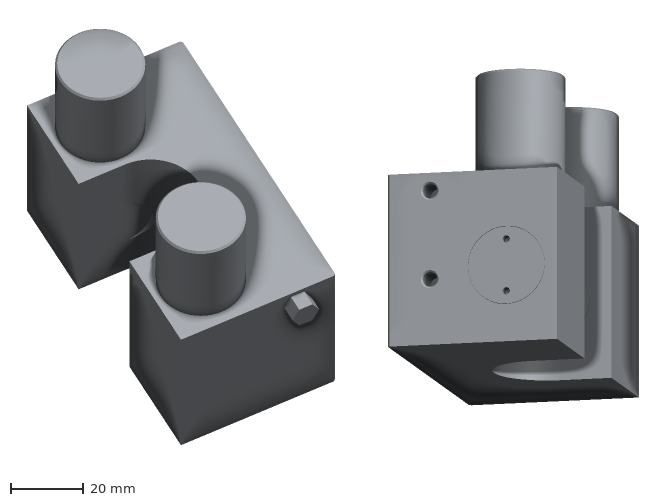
import cadquery as cq
import math

total_length = 97.0
block_length = 92.0
block_depth = 48.5
block_height = 48.5
rear_edge_chamfer = 0.6
mid_x = block_length / 2

axis_y = 14.55

slot_width = 30.4

total_height = 77.5
post_diameter = 25.0
post_spacing = 60.1
post_chamfer = 0.6

piston_z = 21.5
piston_diameter = 16.5
piston_protrusion = 0.3

plug_bore_diameter = 22.0
plug_diameter = 21.8
plug_gap_depth = 1.0
wrench_hole_diameter = 2.0
wrench_hole_spacing = 14.6
wrench_hole_depth = 2.9
drill_point_angle = 118.0

port_y = 36.5
upper_port_z = 43.5
lower_port_z = 18.5
port_diameter = 4.2
port_mouth_diameter = 5.0
port_depth = 9.7
hexagon_corner_diameter = 8.3


def cylinder_along_x(diameter, x_start, x_end, y, z):
    """Cylinder parallel to X between two X positions."""
    section = cq.Workplane("YZ", origin=(x_start, y, z)).circle(diameter / 2)
    return section.extrude(x_end - x_start)


def make_block():
    block = cq.Workplane("XY").box(block_length, block_depth, block_height, centered=False)
    return block.edges("|Z and >Y").chamfer(rear_edge_chamfer)


def make_slot():
    radius = slot_width / 2
    return (
        cq.Workplane("XY")
        .moveTo(mid_x - radius, 0)
        .lineTo(mid_x - radius, axis_y)
        .threePointArc((mid_x, axis_y + radius), (mid_x + radius, axis_y))
        .lineTo(mid_x + radius, 0)
        .close()
        .extrude(block_height)
    )


def make_post(x):
    post = cq.Workplane("XY", origin=(x, axis_y, 0)).circle(post_diameter / 2).extrude(total_height)
    return post.faces(">Z").chamfer(post_chamfer)


def make_wrench_hole(z):
    """Blind hole ending in a drill point."""
    radius = wrench_hole_diameter / 2
    tip_length = radius / math.tan(math.radians(drill_point_angle / 2))
    return (
        cq.Workplane("XY", origin=(0, axis_y, z))
        .polyline([(0, 0), (0, radius), (wrench_hole_depth, radius), (wrench_hole_depth + tip_length, 0)])
        .close()
        .revolve(360, (0, 0), (1, 0))
    )


def make_port(z):
    """Blind hole with a 45 degree countersunk mouth."""
    radius = port_diameter / 2
    mouth_radius = port_mouth_diameter / 2
    mouth_depth = mouth_radius - radius
    return (
        cq.Workplane("XY", origin=(0, port_y, z))
        .polyline([(0, 0), (0, mouth_radius), (mouth_depth, radius), (port_depth, radius), (port_depth, 0)])
        .close()
        .revolve(360, (0, 0), (1, 0))
    )


def make_plug_gap():
    """Thin ring between the plug and its bore."""
    bore = cylinder_along_x(plug_bore_diameter, 0, plug_gap_depth, axis_y, piston_z)
    plug = cylinder_along_x(plug_diameter, 0, plug_gap_depth, axis_y, piston_z)
    return bore.cut(plug)


def make_hexagon():
    return (
        cq.Workplane("YZ", origin=(block_length, port_y, upper_port_z))
        .polygon(6, hexagon_corner_diameter)
        .extrude(total_length - block_length)
    )


result = make_block()
for side in (-1, 1):
    result = result.union(make_post(mid_x + side * post_spacing / 2))
result = result.cut(make_slot())

slot_left = mid_x - slot_width / 2
slot_right = mid_x + slot_width / 2
result = result.cut(cylinder_along_x(piston_diameter, slot_left, slot_right, axis_y, piston_z))
right_piston = cylinder_along_x(
    piston_diameter, slot_right - piston_protrusion, slot_right, axis_y, piston_z
)
result = result.union(right_piston)

result = result.cut(make_plug_gap())
for side in (-1, 1):
    result = result.cut(make_wrench_hole(piston_z + side * wrench_hole_spacing / 2))

for port_z in (lower_port_z, upper_port_z):
    result = result.cut(make_port(port_z))
result = result.union(make_hexagon())